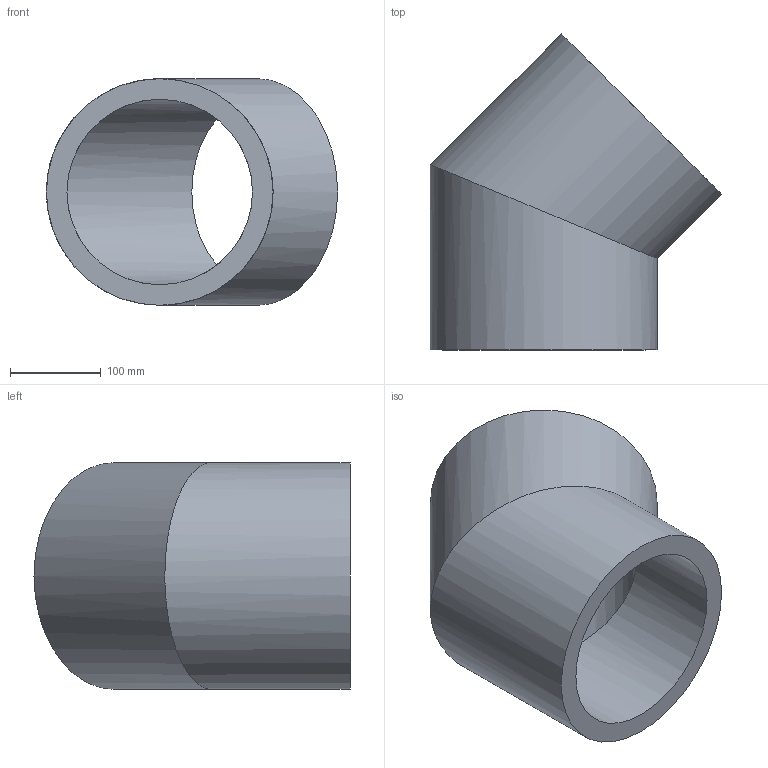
import cadquery as cq
import math

outer_diameter = 250.0
wall_thickness = 22.7
bend_angle = 45.0
leg_length = 152.4

outer_radius = outer_diameter / 2
inner_radius = outer_radius - wall_thickness
bend = math.radians(bend_angle)

inlet_end = (0, -leg_length)
bend_point = (0, 0)
outlet_end = (leg_length * math.sin(bend), leg_length * math.cos(bend))


def mitred_rod(radius):
    """Solid rod that follows both pipe axes, with a sharp mitre at the bend."""
    path = cq.Workplane("XY").polyline([inlet_end, bend_point, outlet_end])
    section = cq.Workplane("XZ", origin=(0, -leg_length, 0)).circle(radius)
    return section.sweep(path, transition="right")


result = mitred_rod(outer_radius).cut(mitred_rod(inner_radius))